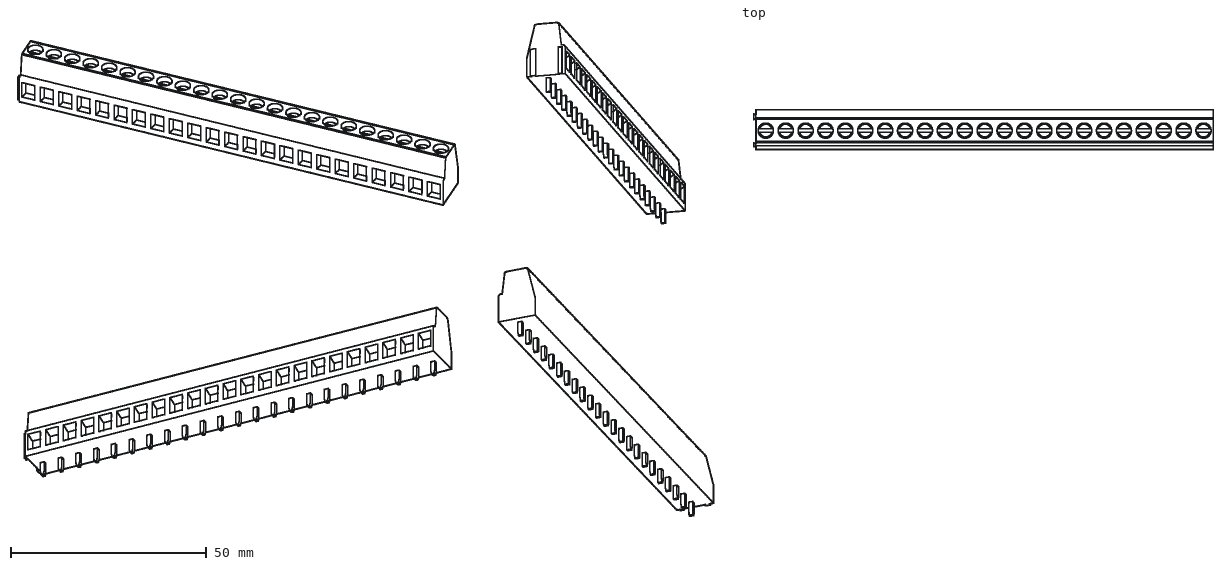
import cadquery as cq

pole_count = 23
total_length = 117.4
total_height = 17.6
rib_projection = 0.6
body_length = total_length - rib_projection
pitch = body_length / pole_count

body_depth = 10.2
body_height = 14.0
front_y = -body_depth / 2
back_y = body_depth / 2
top_front_inset = 1.8
top_back_inset = 2.1
back_wall_height = 5.0
ledge_depth = 1.0
ledge_height = 7.9
ledge_radius = 0.8

shoulder_width = 0.4
shoulder_drop = 0.1

rib_height = 7.2
rib_flare = 0.2
back_rib_inset = 1.0
back_rib_width = 1.5
front_rib_inset = 0.7
front_rib_width = 1.0

window_width = 3.5
window_bottom = 1.8
window_top = 6.3
window_depth = 1.6
window_inner_width = 2.6
window_inner_bottom = 2.0
window_inner_top = 5.0

screw_y = -0.2
well_diameter = 3.9
well_depth = 2.1
head_diameter = 3.3
head_height = 0.7
slot_width = 0.8

pin_size = 1.0
pin_length = total_height - body_height
pin_tip_inset = 0.2
pin_tip_height = 0.8


def make_housing():
    top_front_y = front_y + top_front_inset
    top_back_y = back_y - top_back_inset
    shoulder_height = body_height - shoulder_drop
    profile = (
        cq.Workplane("YZ", origin=(rib_projection, 0, 0))
        .moveTo(front_y, 0)
        .lineTo(front_y, ledge_height - ledge_radius)
        .radiusArc((front_y + ledge_radius, ledge_height), ledge_radius)
        .lineTo(front_y + ledge_depth, ledge_height)
        .lineTo(top_front_y, shoulder_height)
        .lineTo(top_front_y + shoulder_width, shoulder_height)
        .lineTo(top_front_y + shoulder_width, body_height)
        .lineTo(top_back_y - shoulder_width, body_height)
        .lineTo(top_back_y - shoulder_width, shoulder_height)
        .lineTo(top_back_y, shoulder_height)
        .lineTo(back_y, back_wall_height)
        .lineTo(back_y, 0)
        .close()
    )
    return profile.extrude(body_length)


def make_rib(y_min, width):
    y_max = y_min + width
    outline = [
        (0, y_min),
        (rib_projection, y_min + rib_flare),
        (rib_projection, y_max - rib_flare),
        (0, y_max),
    ]
    return cq.Workplane("XY").polyline(outline).close().extrude(rib_height)


def make_window():
    outer_height = window_top - window_bottom
    outer_center = (window_top + window_bottom) / 2
    inner_height = window_inner_top - window_inner_bottom
    inner_center = (window_inner_top + window_inner_bottom) / 2
    return (
        cq.Workplane("XZ", origin=(0, front_y, outer_center))
        .rect(window_width, outer_height)
        .workplane(offset=-window_depth)
        .center(0, inner_center - outer_center)
        .rect(window_inner_width, inner_height)
        .loft()
    )


def make_screw_well():
    floor = cq.Workplane("XY", origin=(0, screw_y, body_height - well_depth))
    head = floor.circle(head_diameter / 2).extrude(head_height)
    slot = floor.rect(well_diameter, slot_width).extrude(head_height)
    return floor.circle(well_diameter / 2).extrude(well_depth).cut(head.cut(slot))


def make_pin():
    half = pin_size / 2
    tip_half = half - pin_tip_inset
    shoulder = pin_tip_height - pin_length
    outline = [
        (-half, 0),
        (-half, shoulder),
        (-tip_half, -pin_length),
        (tip_half, -pin_length),
        (half, shoulder),
        (half, 0),
    ]
    return cq.Workplane("XZ").polyline(outline).close().extrude(half, both=True)


def at_each_pole(feature):
    centers = [rib_projection + (i + 0.5) * pitch for i in range(pole_count)]
    copies = [feature.val().moved(cq.Location(cq.Vector(x, 0, 0))) for x in centers]
    return cq.Workplane("XY").newObject([cq.Compound.makeCompound(copies)])


result = (
    make_housing()
    .union(make_rib(back_y - back_rib_inset - back_rib_width, back_rib_width))
    .union(make_rib(front_y + front_rib_inset, front_rib_width))
    .cut(at_each_pole(make_window()))
    .cut(at_each_pole(make_screw_well()))
    .union(at_each_pole(make_pin()))
)